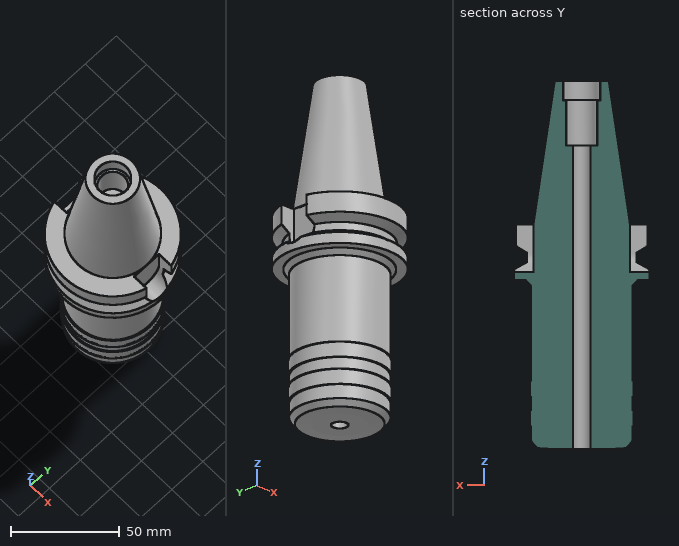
import cadquery as cq

total_length = 170.4
gauge_z = 105.0
flange_top_z = 104.0
flange_bottom_z = 78.0
shoulder_z = 75.3

taper_small_radius = 12.6
taper_large_radius = 22.3
flange_radius = 31.5
shoulder_radius = 26.0
body_radius = 23.5

groove_radius = 26.5
groove_top_z = 93.7
groove_floor_top_z = 90.7
groove_floor_bottom_z = 86.5
groove_bottom_z = 83.5

band_radius = 24.0
band_height = 7.7
band_bottoms = (10.5, 24.2)

nose_chamfer_top_z = 3.5
nose_rim_z = 0.5
nose_rim_radius = 20.8
nose_face_radius = 13.3

slot_width = 16.0
slot_floor_x = 22.3
slot_bottom_z = 82.0

counterbore_radius = 8.5
counterbore_depth = 9.0
thread_bore_radius = 7.2
thread_bore_depth = 30.0
through_bore_radius = 4.0


def turned_body():
    """Revolve the half section of the holder about Z."""
    half_section = [
        (0, 0),
        (nose_face_radius, 0),
        (nose_rim_radius, nose_rim_z),
        (body_radius, nose_chamfer_top_z),
        (body_radius, shoulder_z),
        (shoulder_radius, flange_bottom_z),
        (flange_radius, flange_bottom_z),
        (flange_radius, groove_bottom_z),
        (groove_radius, groove_floor_bottom_z),
        (groove_radius, groove_floor_top_z),
        (flange_radius, groove_top_z),
        (flange_radius, flange_top_z),
        (taper_large_radius, flange_top_z),
        (taper_large_radius, gauge_z),
        (taper_small_radius, total_length),
        (0, total_length),
    ]
    return cq.Workplane("XZ").polyline(half_section).close().revolve(360, (0, 0), (0, 1))


def band(bottom_z):
    """Raised band around the cylindrical body."""
    return cq.Workplane("XY").workplane(offset=bottom_z).circle(band_radius).extrude(band_height)


def drive_slot(side):
    """Cutter for a round-bottomed slot, open upward and outward; side is -1 or +1."""
    half_width = slot_width / 2
    arc_center_z = slot_bottom_z + half_width
    return (
        cq.Workplane("YZ", origin=(side * slot_floor_x, 0, 0))
        .moveTo(-half_width, flange_top_z)
        .lineTo(-half_width, arc_center_z)
        .threePointArc((0, slot_bottom_z), (half_width, arc_center_z))
        .lineTo(half_width, flange_top_z)
        .close()
        .extrude(side * flange_radius)
    )


def bore(radius, depth):
    """Cutter for a round bore sunk from the small end of the taper."""
    return cq.Workplane("XY").workplane(offset=total_length).circle(radius).extrude(-depth)


result = turned_body()

for band_bottom in band_bottoms:
    result = result.union(band(band_bottom))

for slot_side in (-1, 1):
    result = result.cut(drive_slot(slot_side))

result = result.cut(bore(counterbore_radius, counterbore_depth))
result = result.cut(bore(thread_bore_radius, thread_bore_depth))
result = result.cut(bore(through_bore_radius, total_length))